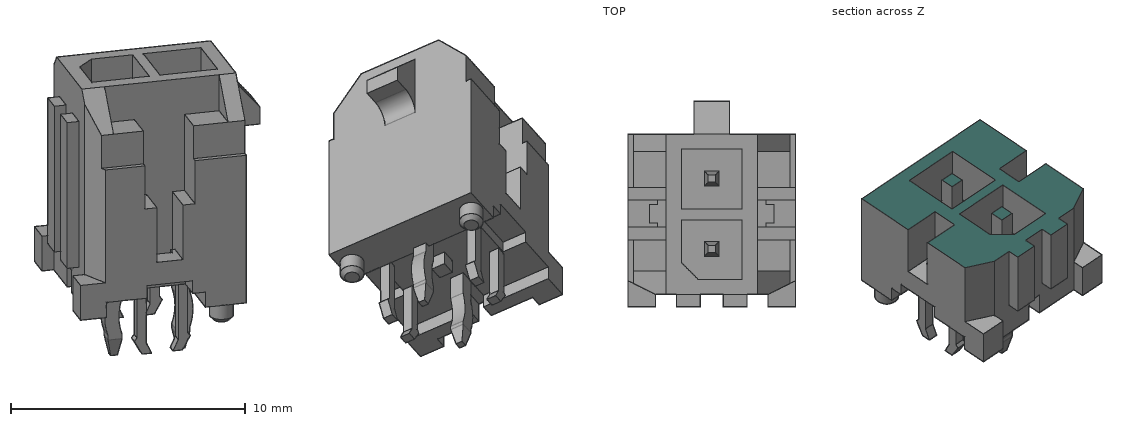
import cadquery as cq


TOTAL_HEIGHT = 13.09
TOTAL_WIDTH = 7.15
TOTAL_DEPTH = 8.77
TOP_Z = 9.92
TAIL_END_Z = TOP_Z - TOTAL_HEIGHT
LATCH_TIP_Y = 4.8
RIB_FRONT_Y = LATCH_TIP_Y - TOTAL_DEPTH

HALF_WIDTH = TOTAL_WIDTH / 2
UPPER_HALF_WIDTH = 3.34
CORE_HALF_WIDTH = 1.95
PANEL_HALF_WIDTH = 2.4
BACK_Y = 3.39
FRONT_Y = -3.44
CHAMFER_DEPTH = 0.59
STEP_Z = 6.77
SHOULDER_Z = 8.27
SHOULDER_BACK_Y = 2.65
SHOULDER_FRONT_Y = -2.43

WIDE_SLOT_WIDTH = 2.23
WIDE_SLOT_Z = 4.79
NARROW_SLOT_WIDTH = 1.15
NARROW_SLOT_Z = 2.29
WELL_DEPTH = 0.52
WELL_HALF_SPAN = 2.32
WELL_KEY_HALF_SPAN = 2.65
WELL_KEY_WIDTH = 0.77

CUTOUT_BACK_Y = 1.57
CUTOUT_FRONT_Y = -2.81
CUTOUT_HEIGHT = 0.7
SIDE_NOTCH_WIDTH = 2.02
SIDE_NOTCH_HALF_SPAN = 2.43
SIDE_NOTCH_Z = 1.27
FRONT_NOTCH_Z = 1.02

CAVITY_HALF_WIDTH = 1.3
CAVITY_LENGTH = 2.55
CAVITY_BACK_Y = 2.76
CAVITY_PITCH = 3.02
CAVITY_FLOOR_Z = NARROW_SLOT_Z
KEY_CHAMFER = 0.73

FOOT_HEIGHT = 1.6
RIB_WIDTH = 1.02
RIB_OFFSET = 1.0

LATCH_WIDTH = 1.52
LATCH_TOP_Z = 9.39
LATCH_NOSE_Z = 7.75
LATCH_UNDER_Z = 6.98
LATCH_FILLET = 0.75

PEG_X = 3.0
PEG_Y = 2.45
PEG_RADIUS = 0.51
PEG_LENGTH = 0.86
PEG_CHAMFER = 0.2

PIN_PITCH = 3.0
PIN_SIZE = 0.63
PIN_TIP_SIZE = 0.3
PIN_TIP_LENGTH = 0.8
PIN_TOP_Z = 7.85
TAIL_TAPER_Z = TAIL_END_Z + PIN_TIP_LENGTH
BOW_TOP_Z = -0.51
BOW_BOTTOM_Z = -2.17
BOW_OFFSET = 0.15

CLIP_OUTER_Y = 1.13
CLIP_INNER_Y = 0.71
CLIP_BARB_Y = 1.25
CLIP_TOE_OUTER_Y = 0.89
CLIP_TOE_INNER_Y = 0.47
CLIP_BARB_TOP_Z = -1.56
CLIP_BARB_Z = -1.7
CLIP_INNER_BEND_Z = -1.83
CLIP_END_Z = -2.33

SIDES = (-1, 1)


def box(x_range, y_range, z_range):
    """Box spanning three (low, high) ranges."""
    spans = [sorted(limits) for limits in (x_range, y_range, z_range)]
    sizes = [high - low for low, high in spans]
    corner = tuple(low for low, high in spans)
    return cq.Workplane("XY").box(*sizes, centered=False).translate(corner)


def centered(width):
    """Range of the given width, centred on zero."""
    return (-width / 2, width / 2)


def make_shell():
    """Housing block with chamfered front corners, stepped flanks and sloped shoulders."""
    chamfer_y = FRONT_Y + CHAMFER_DEPTH
    plan = [
        (-HALF_WIDTH, BACK_Y),
        (HALF_WIDTH, BACK_Y),
        (HALF_WIDTH, chamfer_y),
        (PANEL_HALF_WIDTH, FRONT_Y),
        (-PANEL_HALF_WIDTH, FRONT_Y),
        (-HALF_WIDTH, chamfer_y),
    ]
    right_edge = [
        (HALF_WIDTH, 0),
        (HALF_WIDTH, STEP_Z),
        (UPPER_HALF_WIDTH, STEP_Z),
        (UPPER_HALF_WIDTH, SHOULDER_Z),
        (CORE_HALF_WIDTH, TOP_Z),
    ]
    left_edge = [(-x, z) for x, z in reversed(right_edge)]
    block = cq.Workplane("XY").polyline(plan).close().extrude(TOP_Z)
    elevation = cq.Workplane("XZ").polyline(right_edge + left_edge).close()
    shell = block.intersect(elevation.extrude(TOTAL_DEPTH, both=True))
    for side in SIDES:
        flank = (side * CORE_HALF_WIDTH, side * HALF_WIDTH)
        shell = shell.cut(box(flank, (SHOULDER_FRONT_Y, SHOULDER_BACK_Y), (SHOULDER_Z, TOP_Z)))
    return shell


def make_feet_and_ribs():
    """Two corner feet and two long ribs standing proud of the front face."""
    details = cq.Workplane("XY")
    rear_y = FRONT_Y + CHAMFER_DEPTH
    for side in SIDES:
        foot_x = (side * PANEL_HALF_WIDTH, side * HALF_WIDTH)
        rib_x = (side * RIB_OFFSET - RIB_WIDTH / 2, side * RIB_OFFSET + RIB_WIDTH / 2)
        details = details.add(box(foot_x, (RIB_FRONT_Y, rear_y), (0, FOOT_HEIGHT)))
        details = details.add(box(rib_x, (RIB_FRONT_Y, FRONT_Y), (FOOT_HEIGHT, SHOULDER_Z)))
    return details.combine()


def make_latch():
    """Ramp on the back face with a square nose and a filleted root underneath."""
    fillet_start_y = BACK_Y + LATCH_FILLET
    return (
        cq.Workplane("YZ")
        .moveTo(BACK_Y, LATCH_TOP_Z)
        .lineTo(LATCH_TIP_Y, LATCH_NOSE_Z)
        .lineTo(LATCH_TIP_Y, LATCH_UNDER_Z)
        .lineTo(fillet_start_y, LATCH_UNDER_Z)
        .radiusArc((BACK_Y, LATCH_UNDER_Z - LATCH_FILLET), -LATCH_FILLET)
        .close()
        .extrude(LATCH_WIDTH / 2, both=True)
    )


def cut_side_openings(body):
    """Stepped slot, floor well and bottom notch on each flank."""
    for side in SIDES:
        flank = (side * CORE_HALF_WIDTH, side * HALF_WIDTH)
        well_x = (side * CORE_HALF_WIDTH, side * WELL_HALF_SPAN)
        well_key_x = (side * CORE_HALF_WIDTH, side * WELL_KEY_HALF_SPAN)
        notch_x = (side * SIDE_NOTCH_HALF_SPAN, side * HALF_WIDTH)
        well_z = (NARROW_SLOT_Z - WELL_DEPTH, NARROW_SLOT_Z)
        body = body.cut(box(flank, centered(WIDE_SLOT_WIDTH), (WIDE_SLOT_Z, TOP_Z)))
        body = body.cut(box(flank, centered(NARROW_SLOT_WIDTH), (NARROW_SLOT_Z, WIDE_SLOT_Z)))
        body = body.cut(box(well_x, centered(NARROW_SLOT_WIDTH), well_z))
        body = body.cut(box(well_key_x, centered(WELL_KEY_WIDTH), well_z))
        body = body.cut(box(notch_x, centered(SIDE_NOTCH_WIDTH), (0, SIDE_NOTCH_Z)))
    return body


def cut_underside(body):
    """Cross channel under the housing, and a front notch reaching back to the front pin."""
    channel = box(centered(TOTAL_WIDTH), (CUTOUT_FRONT_Y, CUTOUT_BACK_Y), (0, CUTOUT_HEIGHT))
    pin_front_y = -(PIN_PITCH + PIN_SIZE) / 2
    notch = box(centered(PIN_SIZE), (FRONT_Y, pin_front_y), (0, FRONT_NOTCH_Z))
    return body.cut(channel).cut(notch)


def cut_cavities(body):
    """Two mating cavities; the front one has a chamfered polarising corner."""
    width = (-CAVITY_HALF_WIDTH, CAVITY_HALF_WIDTH)
    for index in range(2):
        back_y = CAVITY_BACK_Y - index * CAVITY_PITCH
        cavity = box(width, (back_y - CAVITY_LENGTH, back_y), (CAVITY_FLOOR_Z, TOP_Z))
        if index == 1:
            cavity = cavity.edges("|Z and <X and <Y").chamfer(KEY_CHAMFER)
        body = body.cut(cavity)
    return body


def make_peg(side):
    """Round locating peg with a chamfered end."""
    peg = cq.Workplane("XY").circle(PEG_RADIUS).extrude(-PEG_LENGTH)
    return peg.faces("<Z").chamfer(PEG_CHAMFER).translate((side * PEG_X, PEG_Y, 0))


def make_pin(side):
    """Square pin with tapered ends and a tail that bows outward."""
    half = PIN_SIZE / 2
    bow_middle_z = (BOW_TOP_Z + BOW_BOTTOM_Z) / 2
    shaft = (
        cq.Workplane("YZ")
        .moveTo(-half, PIN_TOP_Z - PIN_TIP_LENGTH)
        .lineTo(-half, BOW_TOP_Z)
        .threePointArc((-half + side * BOW_OFFSET, bow_middle_z), (-half, BOW_BOTTOM_Z))
        .lineTo(-half, TAIL_TAPER_Z)
        .lineTo(half, TAIL_TAPER_Z)
        .lineTo(half, BOW_BOTTOM_Z)
        .threePointArc((half + side * BOW_OFFSET, bow_middle_z), (half, BOW_TOP_Z))
        .lineTo(half, PIN_TOP_Z - PIN_TIP_LENGTH)
        .close()
        .extrude(half, both=True)
    )
    for base_z, direction in ((PIN_TOP_Z - PIN_TIP_LENGTH, 1), (TAIL_TAPER_Z, -1)):
        tip = (
            cq.Workplane("XY")
            .workplane(offset=base_z)
            .rect(PIN_SIZE, PIN_SIZE)
            .workplane(offset=direction * PIN_TIP_LENGTH)
            .rect(PIN_TIP_SIZE, PIN_TIP_SIZE)
            .loft(ruled=True)
        )
        shaft = shaft.union(tip)
    return shaft.translate((0, side * PIN_PITCH / 2, 0))


def make_clip_leg(x_side, y_side):
    """Solder clip leg with an outward barb and an inward-bent toe."""
    outline = [
        (CLIP_OUTER_Y, SIDE_NOTCH_Z),
        (CLIP_OUTER_Y, CLIP_BARB_TOP_Z),
        (CLIP_BARB_Y, CLIP_BARB_Z),
        (CLIP_TOE_OUTER_Y, CLIP_END_Z),
        (CLIP_TOE_INNER_Y, CLIP_END_Z),
        (CLIP_INNER_Y, CLIP_INNER_BEND_Z),
        (CLIP_INNER_Y, SIDE_NOTCH_Z),
    ]
    return (
        cq.Workplane("YZ")
        .workplane(offset=x_side * CORE_HALF_WIDTH)
        .polyline([(y_side * y, z) for y, z in outline])
        .close()
        .extrude(x_side * (PANEL_HALF_WIDTH - CORE_HALF_WIDTH))
    )


def make_center_post():
    """Square standoff post in the middle of the underside channel."""
    return box(centered(PIN_SIZE), centered(PIN_SIZE), (0, CUTOUT_HEIGHT))


housing = make_shell().union(make_feet_and_ribs()).union(make_latch())
housing = cut_cavities(cut_underside(cut_side_openings(housing)))

result = housing.union(make_center_post())
for side in SIDES:
    result = result.union(make_peg(side)).union(make_pin(side))
    for y_side in SIDES:
        result = result.union(make_clip_leg(side, y_side))